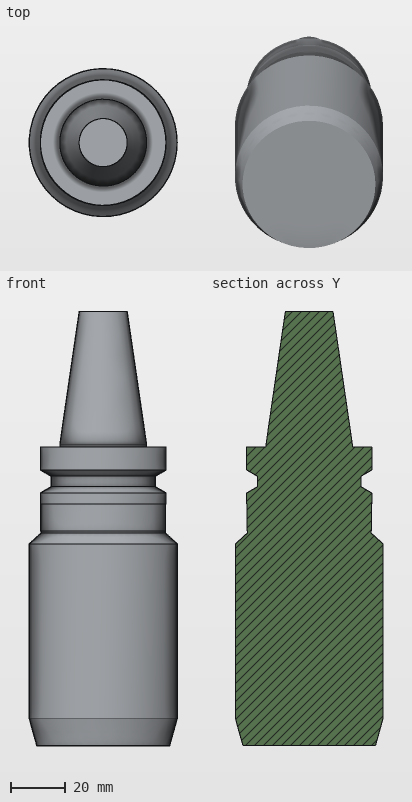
import cadquery as cq
import math

total_height = 158.4
nose_top = 10.0
body_top = 73.7
shoulder_top = 77.6
neck_bottom = 78.4
neck_top = 88.2
lower_flange_top = 92.2
upper_flange_bottom = 100.6
flange_top = 109.0
taper_bottom = 110.0

body_diameter = 54.0
nose_diameter = 48.5
relief_diameter = 45.3
neck_diameter = 45.6
flange_diameter = 46.0
groove_diameter = 38.0
gauge_diameter = 31.7

groove_wall_height = (flange_diameter - groove_diameter) / 2 * math.tan(math.radians(30))
groove_bottom = lower_flange_top + groove_wall_height
groove_top = upper_flange_bottom - groove_wall_height

taper_ratio = 7 / 24
taper_tip_diameter = gauge_diameter - taper_ratio * (total_height - taper_bottom)

section = [
    (0, 0),
    (nose_diameter, 0),
    (body_diameter, nose_top),
    (body_diameter, body_top),
    (relief_diameter, shoulder_top),
    (relief_diameter, neck_bottom),
    (neck_diameter, neck_bottom),
    (neck_diameter, neck_top),
    (flange_diameter, neck_top),
    (flange_diameter, lower_flange_top),
    (groove_diameter, groove_bottom),
    (groove_diameter, groove_top),
    (flange_diameter, upper_flange_bottom),
    (flange_diameter, flange_top),
    (gauge_diameter, flange_top),
    (gauge_diameter, taper_bottom),
    (taper_tip_diameter, total_height),
    (0, total_height),
]

half_section = [(diameter / 2, height) for diameter, height in section]
result = cq.Workplane("XZ").polyline(half_section).close().revolve(360, (0, 0), (0, 1))